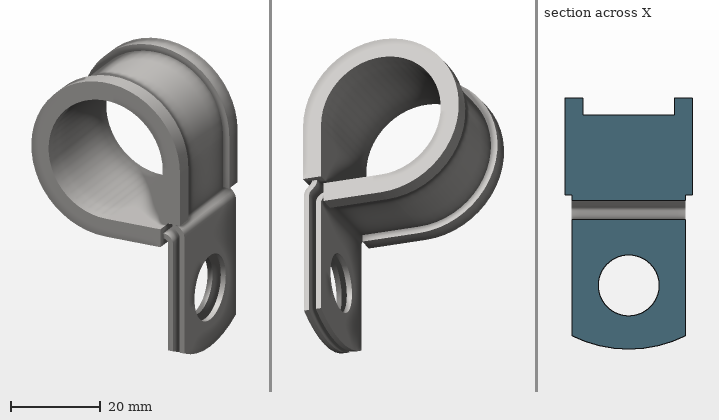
import cadquery as cq
import math

loop_radius = 18.55
bore_radius = 14.25
side_end = 12.5
base_end = 13.65
cushion_width = 28.45
flange_width = 4.1

band_thickness = 1.25
band_radius = 17.0
band_width = 25.4

total_height = 65.4
tab_bottom = loop_radius - total_height
tab_sagitta = 3.0
outer_tab_right = 18.9
inner_hole_radius = 6.75
outer_hole_radius = 7.7
hole_z = -32.55

bend_inside = 1.2
bend_outside = bend_inside + band_thickness
jog_angle = 45


def loop_wall(outer, inner, width):
    """Loop of rectangular section, centred on Y = 0."""
    diagonal = math.sqrt(0.5)
    return (
        cq.Workplane("XZ")
        .moveTo(outer, 0)
        .threePointArc((-outer * diagonal, outer * diagonal), (0, -outer))
        .lineTo(base_end, -outer)
        .lineTo(base_end, -inner)
        .lineTo(0, -inner)
        .threePointArc((-inner * diagonal, inner * diagonal), (inner, 0))
        .lineTo(inner, -side_end)
        .lineTo(outer, -side_end)
        .close()
        .extrude(width / 2, both=True)
    )


def on_arc(center, radius, angle):
    """Point on an arc in the XZ plane, at an angle from +X toward +Z."""
    turn = math.radians(angle)
    return (
        center[0] + radius * math.cos(turn),
        center[1] + radius * math.sin(turn),
    )


def outer_tab():
    """Tab that jogs outward below the side end of the loop through two equal bends."""
    upper_x = band_radius + bend_inside
    lower_x = outer_tab_right - bend_outside
    slope = math.radians(jog_angle)
    drop = (bend_inside + bend_outside - (upper_x - lower_x) * math.cos(slope)) / math.sin(slope)
    upper = (upper_x, -side_end)
    lower = (lower_x, -side_end - drop)
    half = jog_angle / 2
    profile = (
        cq.Workplane("XZ")
        .moveTo(band_radius, -side_end)
        .threePointArc(
            on_arc(upper, bend_inside, 180 + half), on_arc(upper, bend_inside, 180 + jog_angle)
        )
        .lineTo(*on_arc(lower, bend_outside, jog_angle))
        .threePointArc(on_arc(lower, bend_outside, half), on_arc(lower, bend_outside, 0))
        .lineTo(outer_tab_right, tab_bottom)
        .lineTo(outer_tab_right - band_thickness, tab_bottom)
        .lineTo(*on_arc(lower, bend_inside, 0))
        .threePointArc(on_arc(lower, bend_inside, half), on_arc(lower, bend_inside, jog_angle))
        .lineTo(*on_arc(upper, bend_outside, 180 + jog_angle))
        .threePointArc(on_arc(upper, bend_outside, 180 + half), on_arc(upper, bend_outside, 180))
        .close()
    )
    tab = profile.extrude(band_width / 2, both=True)
    return tab.intersect(tab_outline(outer_hole_radius))


def inner_tab():
    """Tab that bends straight down from the base end of the loop."""
    center = (base_end, -band_radius - bend_inside)
    right = base_end + bend_outside
    profile = (
        cq.Workplane("XZ")
        .moveTo(*on_arc(center, bend_inside, 90))
        .lineTo(*on_arc(center, bend_outside, 90))
        .threePointArc(on_arc(center, bend_outside, 45), on_arc(center, bend_outside, 0))
        .lineTo(right, tab_bottom)
        .lineTo(right - band_thickness, tab_bottom)
        .lineTo(*on_arc(center, bend_inside, 0))
        .threePointArc(on_arc(center, bend_inside, 45), on_arc(center, bend_inside, 90))
        .close()
    )
    tab = profile.extrude(band_width / 2, both=True)
    return tab.intersect(tab_outline(inner_hole_radius))


def tab_outline(hole_radius):
    """Prism along X with the rounded lower edge and bolt hole of the tabs."""
    half_width = band_width / 2
    shoulder_z = tab_bottom + tab_sagitta
    return (
        cq.Workplane("YZ")
        .moveTo(-half_width, 0)
        .lineTo(-half_width, shoulder_z)
        .threePointArc((0, tab_bottom), (half_width, shoulder_z))
        .lineTo(half_width, 0)
        .close()
        .moveTo(0, hole_z)
        .circle(hole_radius)
        .extrude(outer_tab_right)
    )


groove_width = cushion_width - 2 * flange_width
cushion = loop_wall(loop_radius, bore_radius, cushion_width)
groove = loop_wall(loop_radius, band_radius, groove_width)

result = cushion.cut(groove).union(outer_tab()).union(inner_tab())